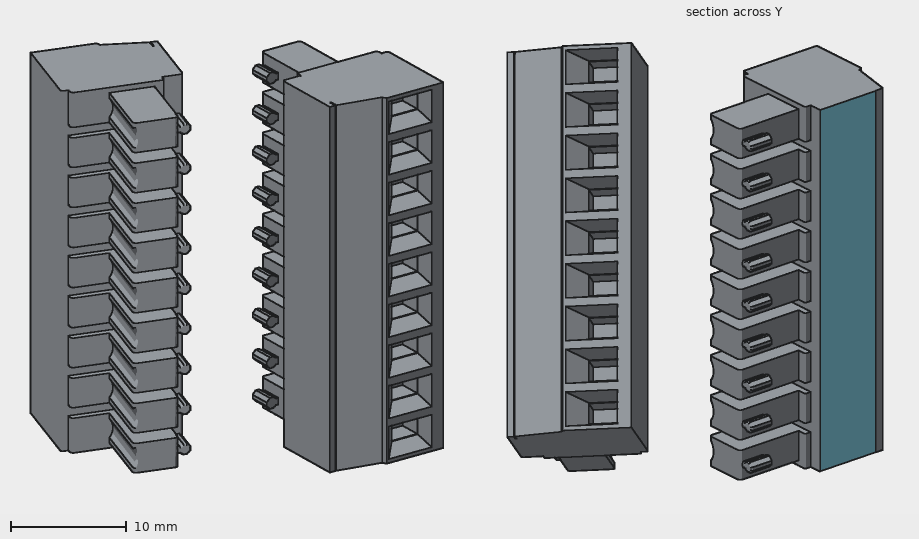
import cadquery as cq


POLE_COUNT = 9
POLE_PITCH = 3.81
HEIGHT = 34.3
TOTAL_LENGTH = 15.5

HOUSING_DEPTH = 8.3
HOUSING_WIDTH = 11.1
HOUSING_EDGE_RADIUS = 0.25
FRONT_FACE_WIDTH = 6.0
SHOULDER_X = 0.38
SHOULDER_Y = 6.2
REAR_LIP_X = 1.25

SLIT_DEPTH = 2.02
SLIT_BOTTOM_Y = 10.42
SLIT_WIDTH = 0.1

FUNNEL_Y_RANGE = (1.25, 5.75)
FUNNEL_HEIGHT = 3.05
FUNNEL_DEPTH = 1.95
FUNNEL_END_Y_RANGE = (1.35, 4.08)
FUNNEL_END_HEIGHT = 1.95
POCKET_Y_RANGE = (1.4, 4.08)
POCKET_HEIGHT = 1.82
POCKET_BOTTOM_X = 4.1

BLADE_HEIGHT = 2.8
BLADE_TOP_Y = 8.3
BLADE_BOTTOM_Y = 4.2
BLADE_END_RADIUS = 0.35
TROUGH_RADIUS = 1.4
TROUGH_CHORD = 1.82

COLLAR_END_X = 8.9
COLLAR_Y_RANGE = (0.7, 9.2)
COLLAR_LOWER_RADIUS = 0.35
COLLAR_UPPER_RADIUS = 0.15

KEY_X_RANGE = (12.93, 15.2)
KEY_NECK_HEIGHT = 0.25
KEY_FLANGE_BOTTOM = 0.55
KEY_FLANGE_TOP = 0.9
KEY_HEIGHT = 1.25
KEY_NECK_HALF = 0.3
KEY_FLANGE_HALF = 0.5
KEY_TIP_HALF = 0.17
KEY_END_RADIUS = 0.2

OVERLAP = 0.35


def box(x_range, y_range, z_range):
    """Axis-aligned box between the given limits."""
    size = [high - low for low, high in (x_range, y_range, z_range)]
    corner = (x_range[0], y_range[0], z_range[0])
    return cq.Workplane("XY").box(*size, centered=False).translate(corner)


def make_housing():
    """Extruded housing with its sloped front, rounded back and slit."""
    outline = [
        (0, 0),
        (HOUSING_DEPTH, 0),
        (HOUSING_DEPTH, HOUSING_WIDTH),
        (REAR_LIP_X, HOUSING_WIDTH),
        (REAR_LIP_X, SLIT_BOTTOM_Y),
        (SHOULDER_X, SHOULDER_Y),
        (0, FRONT_FACE_WIDTH),
    ]
    housing = cq.Workplane("XY").polyline(outline).close().extrude(HEIGHT)
    housing = housing.edges("|Z and >X").fillet(HOUSING_EDGE_RADIUS)
    slit_y_range = (SLIT_BOTTOM_Y, SLIT_BOTTOM_Y + SLIT_WIDTH)
    return housing.cut(box((0, SLIT_DEPTH), slit_y_range, (0, HEIGHT)))


def make_wire_entry():
    """Funnel and pocket, centred on Z = 0, to be cut from the housing."""
    funnel_y = sum(FUNNEL_Y_RANGE) / 2
    funnel_end_y = sum(FUNNEL_END_Y_RANGE) / 2
    funnel_width = FUNNEL_Y_RANGE[1] - FUNNEL_Y_RANGE[0]
    funnel_end_width = FUNNEL_END_Y_RANGE[1] - FUNNEL_END_Y_RANGE[0]
    funnel = (
        cq.Workplane("YZ")
        .center(funnel_y, 0)
        .rect(funnel_width, FUNNEL_HEIGHT)
        .workplane(offset=FUNNEL_DEPTH)
        .center(funnel_end_y - funnel_y, 0)
        .rect(funnel_end_width, FUNNEL_END_HEIGHT)
        .loft(ruled=True)
    )
    pocket_z_range = (-POCKET_HEIGHT / 2, POCKET_HEIGHT / 2)
    return funnel.union(box((FUNNEL_DEPTH, POCKET_BOTTOM_X), POCKET_Y_RANGE, pocket_z_range))


def make_blade():
    """Contact blade, centred on Z = 0, with a round trough along its -Y side."""
    start_x = HOUSING_DEPTH - OVERLAP
    half_height = BLADE_HEIGHT / 2
    blade = box((start_x, TOTAL_LENGTH), (BLADE_BOTTOM_Y, BLADE_TOP_Y), (-half_height, half_height))
    trough_axis_offset = (TROUGH_RADIUS**2 - (TROUGH_CHORD / 2) ** 2) ** 0.5
    trough = (
        cq.Workplane("YZ", origin=(start_x, 0, 0))
        .center(BLADE_BOTTOM_Y - trough_axis_offset, 0)
        .circle(TROUGH_RADIUS)
        .extrude(TOTAL_LENGTH - start_x)
    )
    blade = blade.edges(">X and >Y").fillet(BLADE_END_RADIUS).cut(trough)
    lower_end_edges = cq.selectors.BoxSelector(
        (TOTAL_LENGTH - OVERLAP, BLADE_BOTTOM_Y - OVERLAP, -half_height + OVERLAP / 4),
        (TOTAL_LENGTH + OVERLAP, BLADE_BOTTOM_Y + OVERLAP, half_height - OVERLAP / 4),
    )
    return blade.edges(lower_end_edges).fillet(BLADE_END_RADIUS)


def make_key():
    """Coding key, centred on Z = 0: a flanged rib along X on the blade."""
    upper_half = [
        (BLADE_TOP_Y - OVERLAP, KEY_NECK_HALF),
        (BLADE_TOP_Y + KEY_NECK_HEIGHT, KEY_NECK_HALF),
        (BLADE_TOP_Y + KEY_FLANGE_BOTTOM, KEY_FLANGE_HALF),
        (BLADE_TOP_Y + KEY_FLANGE_TOP, KEY_FLANGE_HALF),
        (BLADE_TOP_Y + KEY_HEIGHT, KEY_TIP_HALF),
    ]
    lower_half = [(y, -z) for y, z in reversed(upper_half)]
    key = (
        cq.Workplane("YZ", origin=(KEY_X_RANGE[0], 0, 0))
        .polyline(upper_half + lower_half)
        .close()
        .extrude(KEY_X_RANGE[1] - KEY_X_RANGE[0])
    )
    return key.faces(">X").edges().fillet(KEY_END_RADIUS)


def make_collar(z_range):
    """Raised collar behind the housing, rounded along its two outer edges."""
    collar = box((HOUSING_DEPTH - OVERLAP, COLLAR_END_X), COLLAR_Y_RANGE, z_range)
    collar = collar.edges("|Z and >X and <Y").fillet(COLLAR_LOWER_RADIUS)
    return collar.edges("|Z and >X and >Y").fillet(COLLAR_UPPER_RADIUS)


result = make_housing()
wire_entry = make_wire_entry()
contact = make_blade().union(make_key())

for pole in range(POLE_COUNT):
    pole_z = HEIGHT / 2 + (pole - (POLE_COUNT - 1) / 2) * POLE_PITCH
    collar_bottom = 0 if pole == 0 else pole_z - BLADE_HEIGHT / 2
    collar_top = HEIGHT if pole == POLE_COUNT - 1 else pole_z + BLADE_HEIGHT / 2
    result = result.union(make_collar((collar_bottom, collar_top)))
    result = result.union(contact.translate((0, 0, pole_z)))
    result = result.cut(wire_entry.translate((0, 0, pole_z)))